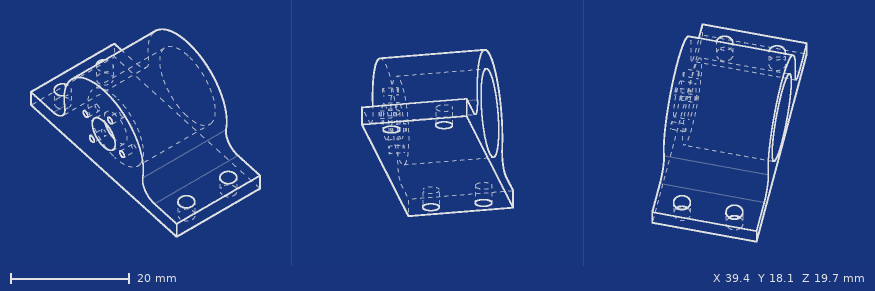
import cadquery as cq
import math

length = 39.37
depth = 18.05
base_height = 3.2
front_y = -depth / 2
back_y = depth / 2

total_height = 19.72
housing_radius = 10.7
axis_height = total_height - housing_radius
fillet_radius = 3.2

pocket_diameter = 15.0
front_wall = 2.5

shaft_hole_diameter = 6.2
screw_hole_diameter = 1.25
screw_circle_radius = 5.0
screw_angles = (70, 170, 230, 350)

mount_hole_diameter = 2.85
mount_spacing_x = 33.4
mount_spacing_y = 9.05


def make_body():
    """Base plate and housing, blended by arcs tangent to the plate top and the housing."""
    fillet_z = base_height + fillet_radius
    center_distance = housing_radius + fillet_radius
    tilt = math.asin((axis_height - fillet_z) / center_distance)
    fillet_x = center_distance * math.cos(tilt)

    joint_x = housing_radius * math.cos(tilt)
    joint_z = axis_height - housing_radius * math.sin(tilt)

    middle_angle = (math.pi - tilt + 1.5 * math.pi) / 2
    middle_x = fillet_x + fillet_radius * math.cos(middle_angle)
    middle_z = fillet_z + fillet_radius * math.sin(middle_angle)

    profile = (
        cq.Workplane("XZ", origin=(0, back_y, 0))
        .moveTo(-length / 2, 0)
        .lineTo(length / 2, 0)
        .lineTo(length / 2, base_height)
        .lineTo(fillet_x, base_height)
        .threePointArc((middle_x, middle_z), (joint_x, joint_z))
        .threePointArc((0, total_height), (-joint_x, joint_z))
        .threePointArc((-middle_x, middle_z), (-fillet_x, base_height))
        .lineTo(-length / 2, base_height)
        .close()
    )
    return profile.extrude(depth)


def axial_plane(start_y):
    """Workplane on the housing axis, facing the front."""
    return cq.Workplane("XZ", origin=(0, start_y, axis_height))


def make_pocket():
    return axial_plane(back_y).circle(pocket_diameter / 2).extrude(depth - front_wall)


def make_shaft_hole():
    return axial_plane(back_y).circle(shaft_hole_diameter / 2).extrude(depth)


def make_screw_holes():
    centers = []
    for angle in screw_angles:
        turn = math.radians(angle)
        centers.append((screw_circle_radius * math.cos(turn), screw_circle_radius * math.sin(turn)))
    wall_back_y = front_y + front_wall
    return axial_plane(wall_back_y).pushPoints(centers).circle(screw_hole_diameter / 2).extrude(front_wall)


def make_mount_holes():
    return (
        cq.Workplane("XY")
        .rarray(mount_spacing_x, mount_spacing_y, 2, 2)
        .circle(mount_hole_diameter / 2)
        .extrude(base_height)
    )


result = (
    make_body()
    .cut(make_pocket())
    .cut(make_shaft_hole())
    .cut(make_screw_holes())
    .cut(make_mount_holes())
)